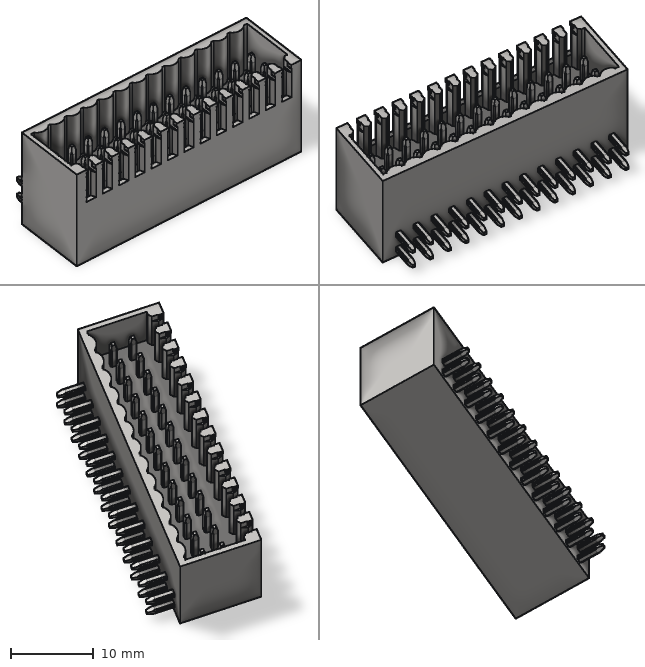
import cadquery as cq


body_width = 10.5
body_length = 34.98
body_height = 14.2
positions = 13
row_span = 30.47
pitch = row_span / (positions - 1)

floor_z = 7.1
end_wall = 0.65
side_wall = 0.95
cavity_right = 8.65
cavity_length = body_length - 2 * end_wall

rib_half_width = 1.1
rib_height = 0.52

nose_half_width = 0.087
post_half_width = 0.52
shoulder_x = 9.0
ridge_x = 9.8
ridge_height = 0.28
ridge_drop = 1.2
lip_height = 0.6
lip_overhang = 0.087
sill_z = 9.2
mouth_half = pitch / 2 - nose_half_width
slot_half = pitch / 2 - post_half_width

pin_width = 0.85
pin_corner = 0.157
tip_width = 0.42
tip_length = 1.0
pin_embed = 0.35
solder_pin_length = 3.5
contact_pin_length = 4.93
first_row_x = 3.7
first_row_z = 1.25

row_offsets = [0, pitch]
position_ys = [(i - (positions - 1) / 2) * pitch for i in range(positions)]


def prism(half_outline, bottom_z, top_z):
    """Upright prism, symmetric about Y = 0, from the +Y half of its outline."""
    mirrored = [(x, -y) for x, y in reversed(half_outline)]
    outline = cq.Workplane("XY").workplane(offset=bottom_z).polyline(half_outline + mirrored).close()
    return outline.extrude(top_z - bottom_z)


def wall_rib():
    """Round rib on the -X wall, bulging into the cavity over its full depth."""
    profile = (
        cq.Workplane("XY").workplane(offset=floor_z)
        .moveTo(side_wall, -rib_half_width)
        .threePointArc((side_wall + rib_height, 0), (side_wall, rib_half_width))
        .close()
    )
    return profile.extrude(body_height - floor_z)


def snap_slot():
    """Slot volume: straight at the top, narrowed by ridges lower down, closed outside by a sill."""
    ridge_top = body_height - ridge_drop
    lip_bottom = body_height - lip_height
    lip_half = slot_half - lip_overhang
    throat_half = slot_half - ridge_height
    entry = [(cavity_right, mouth_half), (shoulder_x, slot_half)]

    lip_zone = prism(
        entry + [(ridge_x, slot_half), (ridge_x, lip_half), (body_width, lip_half)],
        lip_bottom, body_height,
    )
    straight_zone = prism(entry + [(body_width, slot_half)], ridge_top, lip_bottom)
    ridge_zone = prism(entry + [(ridge_x, throat_half), (body_width, slot_half)], sill_z, ridge_top)
    pocket_zone = prism(entry + [(ridge_x, throat_half)], floor_z, sill_z)
    return lip_zone.union(straight_zone).union(ridge_zone).union(pocket_zone)


def pin(exposed_length):
    """Pin along +Z with bevelled corners and a pyramid tip; its root lies below Z = 0."""
    shaft_length = exposed_length - tip_length
    envelope = (
        cq.Workplane("XY").rect(pin_width, pin_width).extrude(exposed_length + pin_embed)
        .edges("|Z").chamfer(pin_corner)
        .translate((0, 0, -pin_embed))
    )
    shaft = (
        cq.Workplane("XY").workplane(offset=-pin_embed)
        .rect(pin_width, pin_width).extrude(shaft_length + pin_embed)
    )
    tip = (
        cq.Workplane("XY").workplane(offset=shaft_length)
        .rect(pin_width, pin_width)
        .workplane(offset=tip_length)
        .rect(tip_width, tip_width)
        .loft(combine=True)
    )
    return shaft.union(tip).intersect(envelope)


housing = cq.Workplane("XY").box(body_width, body_length, body_height, centered=(False, True, False))
cavity = (
    cq.Workplane("XY")
    .box(cavity_right - side_wall, cavity_length, body_height - floor_z, centered=(False, True, False))
    .translate((side_wall, 0, floor_z))
)
housing = housing.cut(cavity)

rib = wall_rib().val()
slot = snap_slot().val()
contact_pin = pin(contact_pin_length).val()
solder_pin = pin(solder_pin_length).rotate((0, 0, 0), (0, 1, 0), -90).val()

slots = []
additions = []
for y in position_ys:
    slots.append(slot.translate(cq.Vector(0, y, 0)))
    additions.append(rib.translate(cq.Vector(0, y, 0)))
    for offset in row_offsets:
        additions.append(contact_pin.translate(cq.Vector(first_row_x + offset, y, floor_z)))
        additions.append(solder_pin.translate(cq.Vector(0, y, first_row_z + offset)))

result = cq.Workplane(housing.val().cut(*slots).fuse(*additions).clean())